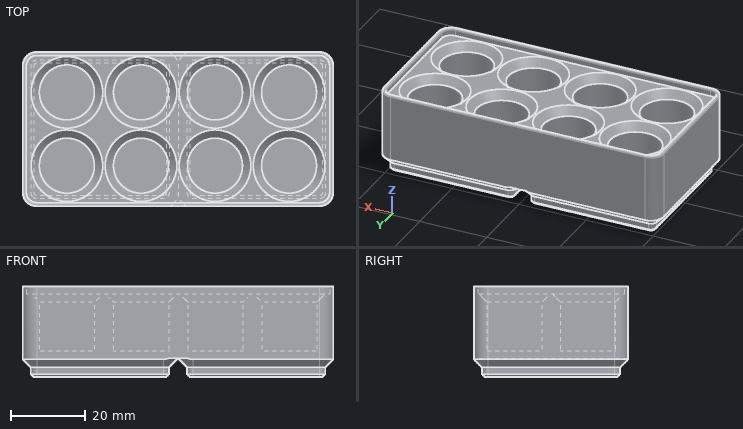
import cadquery as cq

GRID = 42.0
CLEARANCE = 0.5
CELLS = 2
LENGTH = CELLS * GRID - CLEARANCE
WIDTH = GRID - CLEARANCE
HEIGHT = 24.43
GRID_CORNER_RADIUS = 4.0
CORNER_RADIUS = GRID_CORNER_RADIUS - CLEARANCE / 2

FEET_HEIGHT = 5.0
LOWER_CHAMFER = 0.8
UPRIGHT = 1.8
TAPER_Z = LOWER_CHAMFER + UPRIGHT
TAPER = FEET_HEIGHT - TAPER_Z

RIM_HEIGHT = 2.0
RIM_WALL = 1.0
CREST_ROUND = 0.3
DECK_Z = HEIGHT - RIM_HEIGHT

BORE_DIAMETER = 14.8
LEAD_IN = 2.22
POCKET_FLOOR_Z = 7.0
COLUMNS = 4
ROWS = 2
COLUMN_PITCH = 19.9
ROW_PITCH = 19.7


def rounded_block(length, width, radius, base_z, top_z):
    """Upright block with rounded vertical corners, from base_z to top_z."""
    block = cq.Workplane("XY").workplane(offset=base_z).rect(length, width).extrude(top_z - base_z)
    return block.edges("|Z").fillet(radius)


def chamfer_underside(block, size):
    return block.faces("<Z").edges().chamfer(size)


def foot():
    """One foot; its full-cell top runs up into the body, beyond the end of the taper."""
    band_size = GRID - 2 * TAPER
    band = rounded_block(band_size, band_size, GRID_CORNER_RADIUS - TAPER, 0, TAPER_Z)
    flare = rounded_block(GRID, GRID, GRID_CORNER_RADIUS, TAPER_Z, DECK_Z)
    return chamfer_underside(flare, TAPER).union(chamfer_underside(band, LOWER_CHAMFER))


def footed_body():
    """Solid body on its row of feet, all trimmed to the outer outline."""
    body = rounded_block(LENGTH, WIDTH, CORNER_RADIUS, FEET_HEIGHT, HEIGHT)
    for cell in range(CELLS):
        foot_x = (cell - (CELLS - 1) / 2) * GRID
        body = body.union(foot().translate((foot_x, 0, 0)))
    outline = rounded_block(LENGTH, WIDTH, CORNER_RADIUS, 0, HEIGHT)
    return body.intersect(outline)


def add_rim(body):
    """Sink the deck inside a thin wall, then round both edges of the wall's crest."""
    inner_length = LENGTH - 2 * RIM_WALL
    inner_width = WIDTH - 2 * RIM_WALL
    recess = rounded_block(inner_length, inner_width, CORNER_RADIUS - RIM_WALL, DECK_Z, HEIGHT)
    return body.cut(recess).faces(">Z").edges().fillet(CREST_ROUND)


def pockets():
    """Grid of pocket volumes, each a half profile revolved about Z."""
    bore_radius = BORE_DIAMETER / 2
    profile = [
        (0, POCKET_FLOOR_Z),
        (bore_radius, POCKET_FLOOR_Z),
        (bore_radius, DECK_Z - LEAD_IN),
        (bore_radius + LEAD_IN, DECK_Z),
        (0, DECK_Z),
    ]
    pocket = cq.Workplane("XZ").polyline(profile).close().revolve(360, (0, 0), (0, 1)).val()
    grid = cq.Workplane("XY").rarray(COLUMN_PITCH, ROW_PITCH, COLUMNS, ROWS)
    return grid.eachpoint(lambda location: pocket.moved(location))


result = add_rim(footed_body()).cut(pockets())